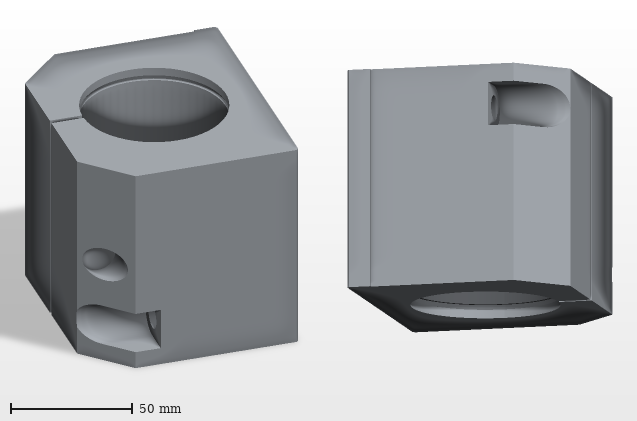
import cadquery as cq

width = 108.0
depth = 90.0
height = 91.0
front_chamfer = 19.1
back_chamfer = 1.0
side_relief = 1.0
strip_width = 9.9

bore_radius = 31.0
slit_width = 2.2
groove_radius = 32.5
groove_width = 2.3
groove_inset = 3.6

mount_offset = 43.0
mount_end_distance = 16.6
mount_hole_radius = 5.2
pocket_radius = 9.1
pocket_depth = 30.0

screw_radius = 7.5
screw_y = -35.9

right = width / 2
left = -right
back = depth / 2
front = -back
top = height / 2
bottom = -top
relieved_left = left + side_relief


def make_block():
    outline = [
        (left + back_chamfer, back),
        (right - back_chamfer, back),
        (right, back - back_chamfer),
        (right, front + front_chamfer),
        (right - front_chamfer, front),
        (relieved_left + front_chamfer, front),
        (relieved_left, front + front_chamfer),
        (relieved_left, back - strip_width),
        (left, back - strip_width),
        (left, back - back_chamfer),
    ]
    return cq.Workplane("XY").workplane(offset=bottom).polyline(outline).close().extrude(height)


def make_groove(lower_wall):
    return cq.Workplane("XY").workplane(offset=lower_wall).circle(groove_radius).extrude(groove_width)


def make_slit():
    return cq.Workplane("XY").box(slit_width, back, height).translate((0, front / 2, 0))


def make_mount_cut(side, z):
    """Through hole and round-ended pocket; side is -1 for left and 1 for right."""
    x = side * mount_offset
    hole = cq.Workplane("XZ", origin=(x, back, z)).circle(mount_hole_radius).extrude(depth)
    pocket_floor = cq.Workplane("XZ", origin=(x, front + pocket_depth, z))
    round_end = pocket_floor.circle(pocket_radius).extrude(pocket_depth)
    open_length = right - mount_offset
    open_end = (
        pocket_floor.center(side * open_length / 2, 0)
        .rect(open_length, 2 * pocket_radius)
        .extrude(pocket_depth)
    )
    return hole.union(round_end).union(open_end)


def make_screw_recess():
    floor_x = right - front_chamfer
    return cq.Workplane("YZ", origin=(floor_x, screw_y, 0)).circle(screw_radius).extrude(front_chamfer)


result = make_block()
result = result.cut(cq.Workplane("XY").circle(bore_radius).extrude(height / 2, both=True))
result = result.cut(make_slit())
for groove_bottom in (bottom + groove_inset, top - groove_inset - groove_width):
    result = result.cut(make_groove(groove_bottom))
result = result.cut(make_mount_cut(-1, top - mount_end_distance))
result = result.cut(make_mount_cut(1, bottom + mount_end_distance))
result = result.cut(make_screw_recess())